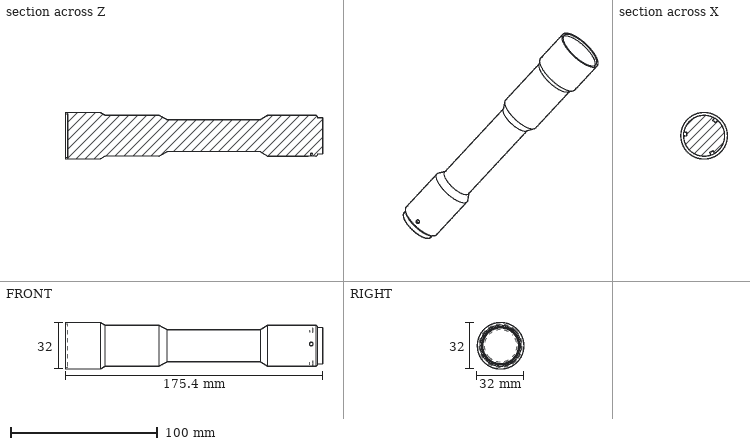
import cadquery as cq
import math

length = 175.4
head_end = 23.8
barrel_start = 27.0
barrel_end = 63.8
neck_start = 69.3
neck_end = 132.7
collar_start = 137.6
collar_end = 171.7

head_radius = 16.0
barrel_radius = 14.0
neck_radius = 11.0
collar_radius = barrel_radius
flange_radius = 12.5
collar_chamfer = 0.9
flange_chamfer = 0.4

recess_radius = 14.7
recess_depth = 1.5

hole_count = 3
hole_diameter = 2.5
hole_depth = 2.1
hole_station = 167.5
first_hole_angle = 5.3


def turned_body():
    """Revolve the half profile (X along the axis, Y as radius)."""
    profile = [
        (0, 0),
        (0, head_radius),
        (head_end, head_radius),
        (barrel_start, barrel_radius),
        (barrel_end, barrel_radius),
        (neck_start, neck_radius),
        (neck_end, neck_radius),
        (collar_start, collar_radius),
        (collar_end - collar_chamfer, collar_radius),
        (collar_end, collar_radius - collar_chamfer),
        (collar_end, flange_radius),
        (length - flange_chamfer, flange_radius),
        (length, flange_radius - flange_chamfer),
        (length, 0),
    ]
    return cq.Workplane("XY").polyline(profile).close().revolve(360, (0, 0, 0), (1, 0, 0))


def front_recess():
    return cq.Workplane("YZ").circle(recess_radius).extrude(recess_depth)


def screw_hole(angle):
    """Blind radial hole, entering the collar at the given angle from -Y toward +Z."""
    outward = cq.Vector(0, -math.cos(math.radians(angle)), math.sin(math.radians(angle)))
    floor = cq.Vector(hole_station, 0, 0) + outward * (collar_radius - hole_depth)
    return cq.Solid.makeCylinder(hole_diameter / 2, 2 * hole_depth, floor, outward)


result = turned_body().cut(front_recess())
for index in range(hole_count):
    result = result.cut(cq.Workplane(screw_hole(first_hole_angle + index * 360 / hole_count)))